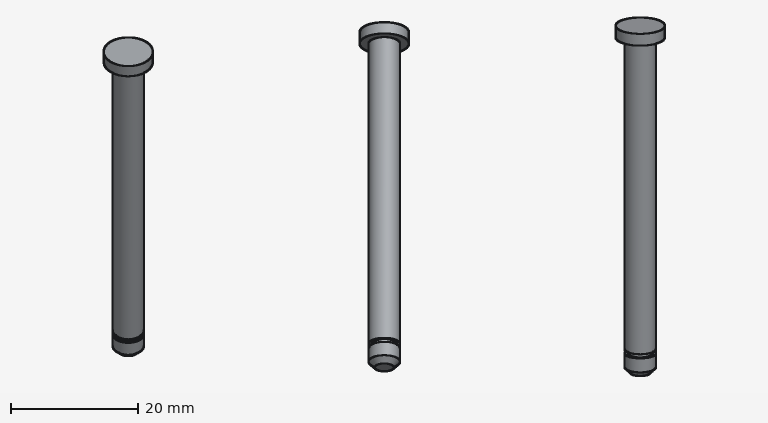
import cadquery as cq

total_length = 58.0
head_diameter = 7.8
head_height = 2.0
shank_diameter = 5.0

groove_diameter = 4.0
groove_width = 0.7
groove_bottom = 3.3

tip_diameter = 3.0
tip_height = 1.0

head_radius = head_diameter / 2
shank_radius = shank_diameter / 2
groove_radius = groove_diameter / 2
tip_radius = tip_diameter / 2
groove_top = groove_bottom + groove_width
head_bottom = total_length - head_height

half_section = (
    cq.Workplane("XZ")
    .lineTo(tip_radius, 0)
    .lineTo(shank_radius, tip_height)
    .lineTo(shank_radius, groove_bottom)
    .lineTo(groove_radius, groove_bottom)
    .lineTo(groove_radius, groove_top)
    .lineTo(shank_radius, groove_top)
    .lineTo(shank_radius, head_bottom)
    .lineTo(head_radius, head_bottom)
    .lineTo(head_radius, total_length)
    .lineTo(0, total_length)
    .close()
)
result = half_section.revolve(360, (0, 0, 0), (0, 1, 0))